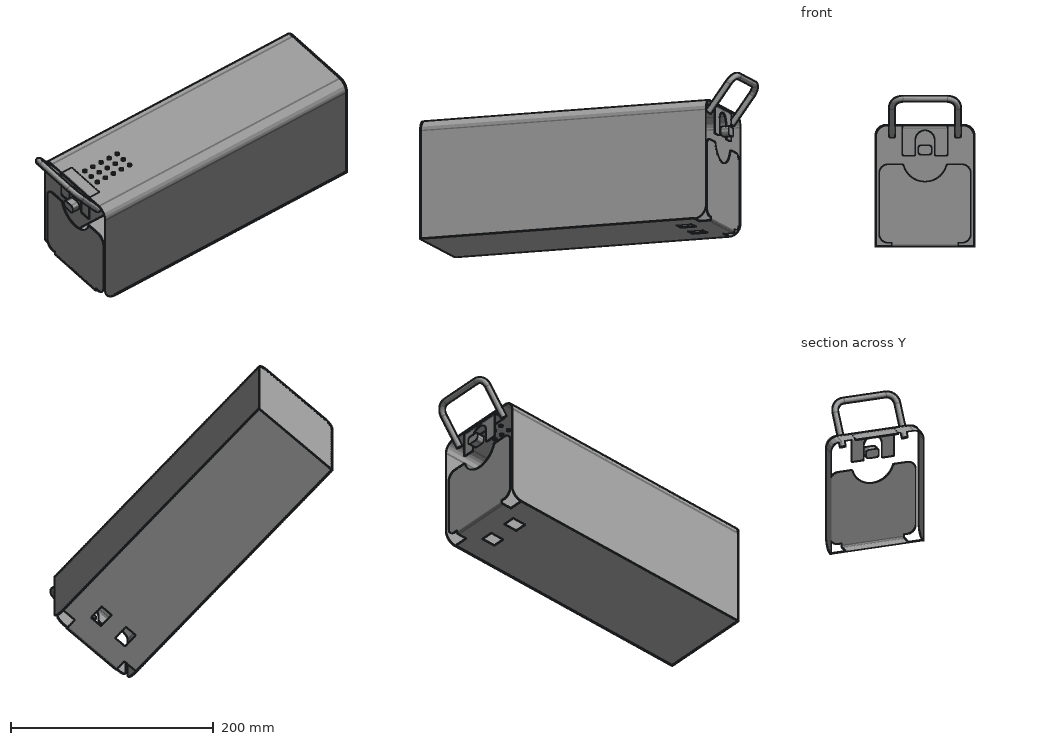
import cadquery as cq
import math

WIDTH = 98.3
LENGTH = 301.5
HEIGHT = 120.7
SHEET = 1.0
COVER_RADIUS = 11.2
FRONT_CORNER_RADIUS = 12.5
INNER_WIDTH = WIDTH - 2 * SHEET
CEILING = HEIGHT - SHEET
BEND_RADIUS = 2.0

VENT_COLUMNS = 3
VENT_ROWS = 5
VENT_DIAMETER = 4.0
VENT_FIELD_WIDTH = 20.0
VENT_FIELD_LENGTH = 40.0
VENT_FIRST_ROW = 20.0

FLOOR_FRONT = FRONT_CORNER_RADIUS

PANEL_WIDTH = 90.5
PANEL_BOTTOM = 4.0
PANEL_TOP = 81.5
PANEL_CORNER_RADIUS = 9.0
PANEL_BEND_WIDTH = 65.8
NOTCH_RADIUS = 22.0
NOTCH_DEPTH = 17.0
NOTCH_EDGE_RADIUS = 2.0
BEND_OVERLAP = 1.5

OPENING_GAP = 19.0
OPENING_WIDTH = 13.0
OPENING_FRONT = 25.0
OPENING_REAR = 40.8

BRACKET_WIDTH = 44.7
BRACKET_DEPTH = 13.0
BRACKET_BOTTOM = 90.0
BRACKET_CORNER_RADIUS = 1.3
ARCH_RADIUS = 9.5
ARCH_TOP = 115.0

BUTTON_WIDTH = 13.5
BUTTON_BOTTOM = 91.0
BUTTON_TOP = 100.3
BUTTON_LENGTH = 8.2
BUTTON_RADIUS = 3.0

ROD_DIAMETER = 6.2
HANDLE_SPAN = 65.0
HANDLE_BEND_RADIUS = 10.5
HANDLE_LEG = 46.0
HANDLE_LEAN = 37.0
HANDLE_TOP = 149.3
HANDLE_REACH = 27.3


def block(width, y_front, y_rear, z_bottom, z_top):
    """Box centred on X between the given Y and Z limits."""
    return cq.Workplane("XY").box(
        width, y_rear - y_front, z_top - z_bottom, centered=(True, False, False)
    ).translate((0, y_front, z_bottom))


def rounded_top_block(width, y_front, y_rear, z_top, radius):
    """Box standing on Z = 0 with its two upper long edges rounded."""
    return block(width, y_front, y_rear, 0, z_top).edges("|Y and >Z").fillet(radius)


def make_cover():
    """U-shaped cover with rounded shoulders, open at the front, rear and bottom."""
    cover = rounded_top_block(WIDTH, 0, LENGTH, HEIGHT, COVER_RADIUS)
    cavity = rounded_top_block(INNER_WIDTH, 0, LENGTH, CEILING, COVER_RADIUS - SHEET)
    cover = cover.cut(cavity)
    cover = cover.edges("|X and <Y and <Z").fillet(FRONT_CORNER_RADIUS)
    vents = (
        cq.Workplane("XY", origin=(0, VENT_FIRST_ROW + VENT_FIELD_LENGTH / 2, CEILING))
        .rarray(
            VENT_FIELD_WIDTH / (VENT_COLUMNS - 1),
            VENT_FIELD_LENGTH / (VENT_ROWS - 1),
            VENT_COLUMNS,
            VENT_ROWS,
        )
        .circle(VENT_DIAMETER / 2)
        .extrude(SHEET)
    )
    return cover.cut(vents)


def horizontal_cylinder(radius, z_centre):
    """Cylinder along Y, one sheet thick, starting at the front face."""
    return cq.Workplane("XZ", origin=(0, 0, z_centre)).circle(radius).extrude(-SHEET)


def make_front_panel():
    """Rounded front panel with a finger notch in its upper edge."""
    panel = block(PANEL_WIDTH, 0, SHEET, PANEL_BOTTOM, PANEL_TOP)
    panel = panel.edges("|Y").fillet(PANEL_CORNER_RADIUS)
    notch = horizontal_cylinder(NOTCH_RADIUS, PANEL_TOP - NOTCH_DEPTH + NOTCH_RADIUS)
    half_mouth = math.sqrt(NOTCH_RADIUS**2 - (NOTCH_RADIUS - NOTCH_DEPTH) ** 2)
    mouth = cq.selectors.BoxSelector(
        (-half_mouth - SHEET, -SHEET, PANEL_TOP - SHEET),
        (half_mouth + SHEET, 2 * SHEET, PANEL_TOP + SHEET),
    )
    return panel.cut(notch).edges("|Y").edges(mouth).fillet(NOTCH_EDGE_RADIUS)


def make_floor():
    """Base floor with two openings near the front."""
    floor = block(INNER_WIDTH, FLOOR_FRONT, LENGTH, 0, SHEET)
    opening_offset = (OPENING_GAP + OPENING_WIDTH) / 2
    for side in (-1, 1):
        opening = block(OPENING_WIDTH, OPENING_FRONT, OPENING_REAR, 0, SHEET)
        floor = floor.cut(opening.translate((side * opening_offset, 0, 0)))
    return floor


def bent_strip(width, depth, height):
    """L-shaped sheet strip: a floor leg of the given depth and an upright leg of the given height."""
    inner_radius = BEND_RADIUS - SHEET
    outer = block(width, 0, depth, 0, height).edges("|X and <Y and <Z").fillet(BEND_RADIUS)
    inner = block(width, SHEET, depth, SHEET, height).edges("|X and <Y and <Z").fillet(inner_radius)
    return outer.cut(inner)


def make_base():
    """Floor with a bent-up front panel and a full-height rear wall."""
    rear_wall = rounded_top_block(INNER_WIDTH, LENGTH - SHEET, LENGTH, CEILING, COVER_RADIUS - SHEET)
    front_bend = bent_strip(PANEL_BEND_WIDTH, FLOOR_FRONT + BEND_OVERLAP, PANEL_BOTTOM + BEND_OVERLAP)
    return make_floor().union(rear_wall).union(front_bend).union(make_front_panel())


def make_bracket():
    """Bent bracket under the cover roof, its front leg cut by an arch."""
    bracket = bent_strip(BRACKET_WIDTH, BRACKET_DEPTH, CEILING - BRACKET_BOTTOM)
    bracket = bracket.mirror("XY").translate((0, 0, CEILING))
    arch_centre = ARCH_TOP - ARCH_RADIUS
    arch = block(2 * ARCH_RADIUS, 0, SHEET, BRACKET_BOTTOM, arch_centre).union(
        horizontal_cylinder(ARCH_RADIUS, arch_centre)
    )
    return bracket.cut(arch).edges("|Y and <Z").fillet(BRACKET_CORNER_RADIUS)


def make_button():
    """Rounded latch button standing forward of the front face."""
    button = block(BUTTON_WIDTH, -BUTTON_LENGTH, 0, BUTTON_BOTTOM, BUTTON_TOP)
    return button.edges("|Y").fillet(BUTTON_RADIUS)


def make_handle():
    """Round rod swept along a U, leaning forward out of the open front."""
    half_span = HANDLE_SPAN / 2
    shoulder = half_span - HANDLE_BEND_RADIUS
    bend_start = -HANDLE_BEND_RADIUS
    corner = HANDLE_BEND_RADIUS * math.sqrt(0.5)
    lean = math.radians(HANDLE_LEAN)
    plane = cq.Plane(
        origin=(0, ROD_DIAMETER / 2 - HANDLE_REACH, HANDLE_TOP - ROD_DIAMETER / 2),
        xDir=(1, 0, 0),
        normal=(0, -math.cos(lean), -math.sin(lean)),
    )
    path = (
        cq.Workplane(plane)
        .moveTo(-half_span, -HANDLE_LEG)
        .lineTo(-half_span, bend_start)
        .threePointArc((-shoulder - corner, bend_start + corner), (-shoulder, 0))
        .lineTo(shoulder, 0)
        .threePointArc((shoulder + corner, bend_start + corner), (half_span, bend_start))
        .lineTo(half_span, -HANDLE_LEG)
    )
    leg_end = plane.toWorldCoords((-half_span, -HANDLE_LEG))
    end_plane = cq.Plane(origin=leg_end, xDir=(1, 0, 0), normal=plane.yDir)
    return cq.Workplane(end_plane).circle(ROD_DIAMETER / 2).sweep(path)


cover = make_cover()
base = make_base()
bracket = make_bracket()
button = make_button()
handle = make_handle()

result = cq.Compound.makeCompound(
    [cover.val(), base.val(), bracket.val(), button.val(), handle.val()]
)